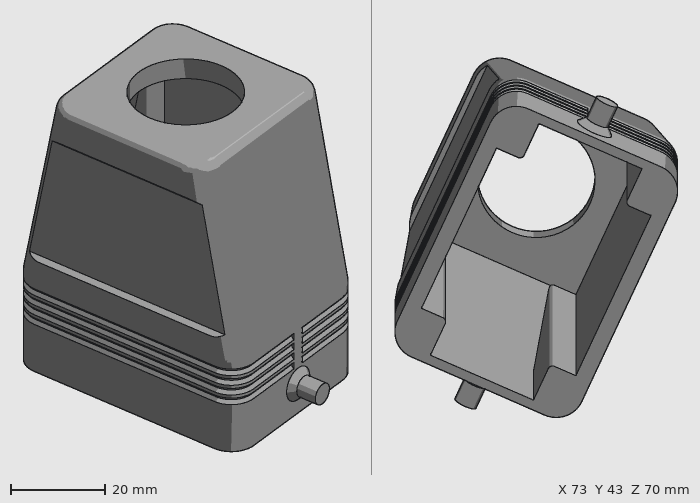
import cadquery as cq
import math

total_length = 73.0
body_length = 60.0
body_depth = 43.0
total_height = 70.0

shoulder_height = 23.35
top_length = 41.6
shoulder_radius = 5.55
corner_radius = 6.0
top_edge_radius = 2.5

panel_depth = 1.0
panel_bottom = 29.5
panel_top = 60.2

groove_count = 4
groove_pitch = 2.5
groove_height = 1.7
groove_depth = 0.65
top_groove_center = 20.4
groove_gap = 3.0

pin_height = 7.5
pin_radius = 2.5
pin_base_radius = 4.0
pin_cone_length = 1.5

entry_diameter = 25.0
roof_thickness = 5.05
cavity_length = 38.7
cavity_depth = 36.0
end_wall_thickness = 2.05
end_pocket_depth = 24.0
block_edge_radius = 1.0

body_half = body_length / 2
top_half = top_length / 2
wall_lean = (body_half - top_half) / (total_height - shoulder_height)
overcut = 0.7


def make_shell():
    """Straight skirt below, end walls leaning inward above, rounded all over."""
    outline = [
        (-body_half, 0),
        (body_half, 0),
        (body_half, shoulder_height),
        (top_half, total_height),
        (-top_half, total_height),
        (-body_half, shoulder_height),
    ]
    shell = cq.Workplane("XZ").polyline(outline).close().extrude(body_depth / 2, both=True)
    mid_height = cq.selectors.BoxSelector(
        (-body_length, -body_depth, shoulder_height - overcut),
        (body_length, body_depth, shoulder_height + overcut),
    )
    shell = shell.edges("|Y").edges(mid_height).fillet(shoulder_radius)
    shell = shell.faces("<Y or >Y").edges("not #Z").fillet(corner_radius)
    return shell.faces(">Z").edges().fillet(top_edge_radius)


def make_panel_cutter():
    """Recess across the front face, with 45 degree upper and lower slopes."""
    face = -body_depth / 2
    slope = panel_depth + overcut
    profile = [
        (face + panel_depth, panel_bottom),
        (face + panel_depth, panel_top),
        (face - overcut, panel_top + slope),
        (face - overcut, panel_bottom - slope),
    ]
    return cq.Workplane("YZ").polyline(profile).close().extrude(body_half, both=True)


def make_groove_cutter():
    """V-shaped ring around the skirt at Z = 0, interrupted on both end walls."""
    half_height = groove_height / 2
    taper = math.degrees(math.atan(groove_depth / half_height))
    section = cq.Sketch().rect(body_length, body_depth).vertices().fillet(corner_radius)
    lower_core = cq.Workplane().workplane(offset=-half_height).placeSketch(section)
    lower_core = lower_core.extrude(half_height, taper=taper)
    upper_core = lower_core.mirror("XY")
    ring = cq.Workplane().box(body_length + overcut, body_depth + overcut, groove_height)
    gap = cq.Workplane().box(total_length, groove_gap, groove_height)
    return ring.cut(lower_core).cut(upper_core).cut(gap)


def make_pins():
    """Both locking pins as one revolved shape along X."""
    half_length = total_length / 2
    cone_end = body_half + pin_cone_length
    root = body_half - end_wall_thickness / 2
    profile = [
        (root, 0),
        (root, pin_base_radius),
        (body_half, pin_base_radius),
        (cone_end, pin_radius),
        (half_length, pin_radius),
        (half_length, 0),
    ]
    pin = cq.Workplane("XZ").polyline(profile).close().revolve(360, (0, 0), (1, 0))
    pin = pin.translate((0, 0, pin_height))
    return pin.union(pin.mirror("YZ"))


def make_cavity():
    """Straight central cavity plus end pockets that follow the leaning end walls."""
    ceiling = total_height - roof_thickness
    block_corners = cq.selectors.BoxSelector(
        (-body_half + overcut, -end_pocket_depth / 2 - overcut, -overcut),
        (body_half - overcut, end_pocket_depth / 2 + overcut, overcut),
    )
    pocket_half = body_half - end_wall_thickness
    ceiling_half = pocket_half - wall_lean * (ceiling - shoulder_height)
    outline = [
        (-pocket_half, 0),
        (pocket_half, 0),
        (pocket_half, shoulder_height),
        (ceiling_half, ceiling),
        (-ceiling_half, ceiling),
        (-pocket_half, shoulder_height),
    ]
    lean_limit = cq.Workplane("XZ").polyline(outline).close().extrude(cavity_depth / 2, both=True)
    plan = (
        cq.Sketch()
        .rect(cavity_length, cavity_depth)
        .rect(body_length, end_pocket_depth)
        .clean()
        .reset()
        .vertices(block_corners)
        .fillet(block_edge_radius)
    )
    return cq.Workplane().placeSketch(plan).extrude(ceiling).intersect(lean_limit)


result = make_shell()

panel = make_panel_cutter()
result = result.cut(panel).cut(panel.mirror("XZ"))

groove = make_groove_cutter()
for index in range(groove_count):
    result = result.cut(groove.translate((0, 0, top_groove_center - index * groove_pitch)))

result = result.union(make_pins())
result = result.cut(make_cavity())

cable_entry = cq.Workplane().circle(entry_diameter / 2).extrude(total_height + overcut)
result = result.cut(cable_entry)